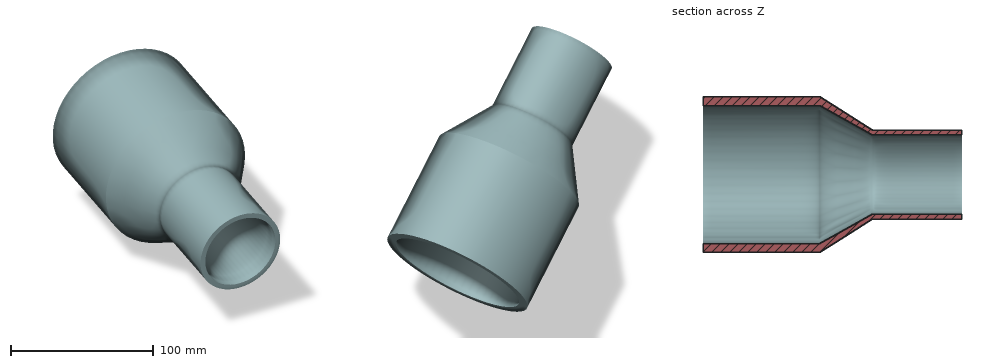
import cadquery as cq

large_outer_diameter = 110.0
large_bore_diameter = 96.8
small_outer_diameter = 63.0
small_bore_diameter = 55.4

total_length = 182.0
large_length = 82.0
small_length = 63.0

cone_start = large_length
cone_end = total_length - small_length


def stepped_body(large_diameter, small_diameter):
    """Solid of two cylinders joined by a cone, starting at X = 0."""
    large_radius = large_diameter / 2
    small_radius = small_diameter / 2
    return (
        cq.Workplane("XY")
        .moveTo(0, 0)
        .lineTo(0, large_radius)
        .lineTo(cone_start, large_radius)
        .lineTo(cone_end, small_radius)
        .lineTo(total_length, small_radius)
        .lineTo(total_length, 0)
        .close()
        .revolve(360, (0, 0, 0), (1, 0, 0))
    )


outer_body = stepped_body(large_outer_diameter, small_outer_diameter)

bore = stepped_body(large_bore_diameter, small_bore_diameter)

result = outer_body.cut(bore)